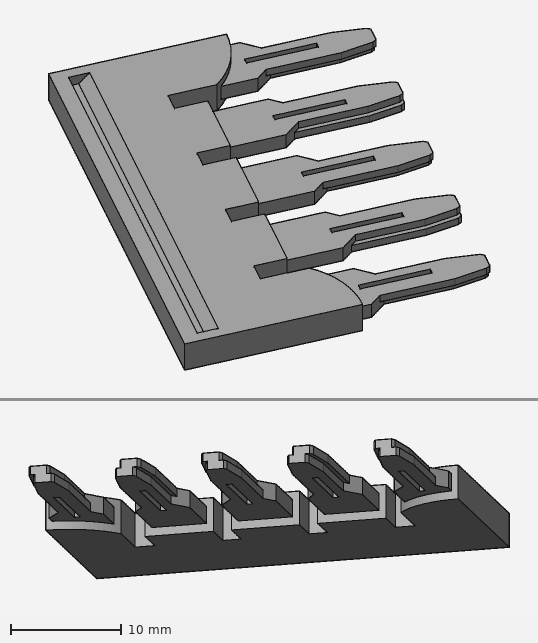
import cadquery as cq

length = 38.95
thickness = 3.2
notch_floor_y = 9.35
tab_top_y = 12.55
corner_top_y = 17.05
corner_arc_radius = 8.0
corner_width = 6.27
tab_width = 6.43

pin_count = 5
pin_pitch = 8.15
pin_thickness = 1.6
pin_root_y = 7.8
pin_tip_y = 30.0
shoulder_half_width = 2.57
shoulder_y = 18.1
shoulder_slope = 1.24
wide_side = 1.67
narrow_side = 1.25
taper_start_y = 26.4
taper_inset = 0.45
tip_chamfer_y = 29.6
tip_chamfer_inset = 0.25

slot_width = 0.55
slot_bottom_y = 17.8
slot_top_y = 24.7

groove_length = 36.85
groove_front_y = 1.55
groove_floor_width = 0.97
groove_depth = 1.05

pin_positions = [(i - (pin_count - 1) / 2) * pin_pitch for i in range(pin_count)]


def plate(x_min, x_max, y_min, y_max, height):
    """Rectangular block between the given X and Y limits, centred on Z = 0."""
    return (
        cq.Workplane("XY")
        .center((x_min + x_max) / 2, (y_min + y_max) / 2)
        .rect(x_max - x_min, y_max - y_min)
        .extrude(height / 2, both=True)
    )


def end_corner():
    """Raised left-hand end whose top falls away along an arc, level at the outer edge."""
    outer_x = -length / 2
    inner_x = outer_x + corner_width

    def arc_y(distance):
        drop = corner_arc_radius - (corner_arc_radius**2 - distance**2) ** 0.5
        return corner_top_y - drop

    return (
        cq.Workplane("XY")
        .moveTo(outer_x, 0)
        .lineTo(outer_x, corner_top_y)
        .threePointArc(
            (outer_x + corner_width / 2, arc_y(corner_width / 2)),
            (inner_x, arc_y(corner_width)),
        )
        .lineTo(inner_x, 0)
        .close()
        .extrude(thickness / 2, both=True)
    )


def housing():
    body = plate(-length / 2, length / 2, 0, notch_floor_y, thickness)
    for x in pin_positions[1:-1]:
        body = body.union(plate(x - tab_width / 2, x + tab_width / 2, 0, tab_top_y, thickness))
    corner = end_corner()
    return body.union(corner).union(corner.mirror("YZ"))


def pin_edge(side):
    """Half outline of a pin layer, root to tip, as (distance from axis, Y)."""
    blade_y = shoulder_y + (shoulder_half_width - side) * shoulder_slope
    return [
        (shoulder_half_width, pin_root_y),
        (shoulder_half_width, shoulder_y),
        (side, blade_y),
        (side, taper_start_y),
        (side - taper_inset, tip_chamfer_y),
        (side - taper_inset - tip_chamfer_inset, pin_tip_y),
    ]


def pin_layer(left_side, right_side, height):
    left = [(-x, y) for x, y in pin_edge(left_side)]
    right = pin_edge(right_side)
    return cq.Workplane("XY").polyline(left + right[::-1]).close().extrude(height)


def pin():
    """Pin on the Y axis: the top layer is narrow on the left, the bottom layer on the right."""
    top = pin_layer(narrow_side, wide_side, pin_thickness / 2)
    bottom = pin_layer(wide_side, narrow_side, -pin_thickness / 2)
    slot = plate(-slot_width / 2, slot_width / 2, slot_bottom_y, slot_top_y, pin_thickness)
    return top.union(bottom).cut(slot)


def groove():
    top_z = thickness / 2
    floor_z = top_z - groove_depth
    floor_rear_y = groove_front_y + groove_floor_width
    return (
        cq.Workplane("YZ")
        .moveTo(groove_front_y, top_z)
        .lineTo(groove_front_y, floor_z)
        .lineTo(floor_rear_y, floor_z)
        .lineTo(floor_rear_y + groove_depth, top_z)
        .close()
        .extrude(groove_length / 2, both=True)
    )


result = housing()
for i, x in enumerate(pin_positions):
    oriented_pin = pin() if i % 2 == 0 else pin().mirror("YZ")
    result = result.union(oriented_pin.translate((x, 0, 0)))
result = result.cut(groove())